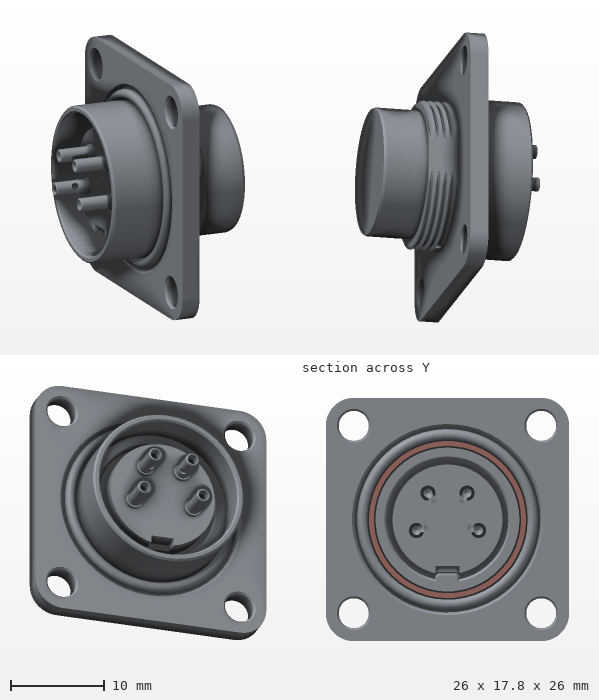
import cadquery as cq
import math


flange_width = 26.0
flange_thickness = 2.0
flange_corner_radius = 3.0
mount_hole_diameter = 3.2
mount_hole_chamfer = 0.2
mount_hole_offset = flange_width / 2 - flange_corner_radius

shroud_diameter = 17.0
shroud_bore = 15.5
shroud_length = 6.0
rim_outer_chamfer = 0.2
rim_inner_chamfer = 0.18

groove_diameter = 20.4
groove_chamfer = 0.29
seal_section_diameter = 1.2
seal_projection = 0.5
seal_squeeze = 0.03
seal_center_radius = (shroud_diameter + seal_section_diameter) / 2 - seal_squeeze
seal_center_y = seal_section_diameter / 2 - seal_projection
groove_depth = seal_section_diameter - seal_projection - seal_squeeze

barrel_diameter = 13.8
barrel_end_y = 10.0
barrel_end_chamfer_length = 0.29
barrel_end_chamfer_width = 0.1
thread_end_y = 5.2
thread_diameter = 16.0
thread_flat_width = 14.77
thread_pitch = 0.75
thread_start_y = 2.42
thread_overrun = 0.52
thread_crest_clearance = 0.03
thread_depth = 0.42
thread_flank_angle = 30.0

shoulder_y = -2.0
recess_floor_y = -1.2
recess_diameter = 13.0
recess_chamfer = 0.23
key_width = 2.15
key_top_z = -5.95
key_corner = 0.3

insert_diameter = 11.75
insert_face_y = -3.95
notch_width = 2.52
notch_top_z = -4.95
notch_step_z = -5.62

pin_diameter = 1.48
pin_tip_y = -7.8
pin_tip_chamfer = 0.1
pin_circle_radius = 3.5
pin_angles = (199.5, 126.5, 53.5, -19.5)
pin_bore_diameter = 1.1
pin_bore_depth = 2.6
pin_bore_cone_angle = 118.0
pin_vent_diameter = 0.8
pin_vent_from_tip = 2.15
collar_diameter = 1.82
collar_height = 0.42


def turned(start_y, end_y, start_diameter, end_diameter=None):
    """Cylinder, or cone frustum when the end diameters differ, on the Y axis."""
    if end_diameter is None:
        end_diameter = start_diameter
    outline = [(0, start_y), (start_diameter / 2, start_y), (end_diameter / 2, end_y), (0, end_y)]
    if end_diameter == 0:
        outline.pop()
    return cq.Workplane("XY").polyline(outline).close().revolve(360, (0, 0, 0), (0, 1, 0))


def block(width, start_y, end_y, bottom_z, top_z):
    """Box centred on x = 0 between the given Y and Z positions."""
    corner = (-width / 2, start_y, bottom_z)
    return cq.Workplane("XY").box(
        width, end_y - start_y, top_z - bottom_z, centered=False
    ).translate(corner)


def make_flange():
    plate = block(flange_width, 0, flange_thickness, -flange_width / 2, flange_width / 2)
    plate = plate.edges("|Y").fillet(flange_corner_radius)
    hole = turned(0, flange_thickness, mount_hole_diameter).union(
        turned(0, mount_hole_chamfer, mount_hole_diameter + 2 * mount_hole_chamfer, mount_hole_diameter)
    )
    for x in (-mount_hole_offset, mount_hole_offset):
        for z in (-mount_hole_offset, mount_hole_offset):
            plate = plate.cut(hole.translate((x, 0, z)))
    groove_wall_diameter = groove_diameter - 2 * groove_chamfer
    plate = plate.cut(turned(0, groove_depth, groove_wall_diameter))
    return plate.cut(turned(0, groove_chamfer, groove_diameter, groove_wall_diameter))


def make_seal():
    """Ring of round section whose seam line is on its inner side, against the shroud."""
    section = (
        cq.Workplane("XY")
        .transformed(offset=(seal_center_radius, seal_center_y, 0), rotate=(0, 0, 180))
        .circle(seal_section_diameter / 2)
    )
    return section.revolve(360, (seal_center_radius, 0, 0), (seal_center_radius, 1, 0))


def make_thread():
    """Threaded sleeve with two flats facing -X and +X."""
    sleeve = turned(flange_thickness, thread_end_y + 2 * thread_pitch, thread_diameter)
    crest_radius = thread_diameter / 2
    root_radius = crest_radius - thread_depth
    root_half = thread_pitch / 8
    flank_slope = math.tan(math.radians(thread_flank_angle))
    outer_radius = crest_radius + thread_crest_clearance
    outer_half = root_half + (outer_radius - root_radius) * flank_slope
    helix = cq.Wire.makeHelix(
        thread_pitch, thread_end_y - thread_start_y + thread_overrun, root_radius
    )
    groove = (
        cq.Workplane("XZ")
        .polyline(
            [
                (root_radius, -root_half),
                (outer_radius, -outer_half),
                (outer_radius, outer_half),
                (root_radius, root_half),
            ]
        )
        .close()
        .sweep(cq.Workplane("XY").add(helix), isFrenet=True)
    )
    groove = groove.rotate((0, 0, 0), (0, 0, 1), 90).rotate((0, 0, 0), (1, 0, 0), -90)
    sleeve = sleeve.cut(groove.translate((0, thread_start_y, 0)))
    trimmed_shape = block(thread_flat_width, flange_thickness, thread_end_y, -crest_radius, crest_radius)
    return sleeve.intersect(trimmed_shape)


def make_shell_core():
    """Shroud and rear barrel, hollowed from the front, with the locating key left standing."""
    front_y = -shroud_length
    shoulder_edge_diameter = recess_diameter + 2 * recess_chamfer
    barrel_chamfer_y = barrel_end_y - barrel_end_chamfer_length
    core = (
        turned(front_y + rim_outer_chamfer, groove_depth, shroud_diameter)
        .union(
            turned(front_y, front_y + rim_outer_chamfer,
                   shroud_diameter - 2 * rim_outer_chamfer, shroud_diameter)
        )
        .union(turned(recess_floor_y, barrel_chamfer_y, barrel_diameter))
        .union(
            turned(barrel_chamfer_y, barrel_end_y,
                   barrel_diameter, barrel_diameter - 2 * barrel_end_chamfer_width)
        )
    )
    core = core.cut(turned(front_y, shoulder_y, shroud_bore))
    core = core.cut(
        turned(front_y, front_y + rim_inner_chamfer, shroud_bore + 2 * rim_inner_chamfer, shroud_bore)
    )
    recess = turned(shoulder_y, recess_floor_y, recess_diameter)
    shoulder_chamfer = turned(
        shoulder_y, shoulder_y + recess_chamfer, shoulder_edge_diameter, recess_diameter
    )
    return core.cut(recess).cut(shoulder_chamfer).union(make_key())


def make_key():
    """Key rising from the bottom of the recess, bevelled like the shoulder around it."""
    base_z = -(recess_diameter + shroud_bore) / 4
    full_width = key_width + 2 * recess_chamfer
    key = block(full_width, shoulder_y, recess_floor_y, base_z, key_top_z + recess_chamfer)
    key = key.edges("|Y and >Z").chamfer(key_corner)
    bevelled_edges = key.faces("<Y").edges("not <Z")
    return bevelled_edges.chamfer(recess_chamfer)


def make_insert():
    """Round contact carrier with a stepped notch over the key."""
    insert = turned(insert_face_y, recess_floor_y, insert_diameter)
    bottom_z = -insert_diameter / 2
    insert = insert.cut(block(notch_width, insert_face_y, shoulder_y, bottom_z, notch_top_z))
    return insert.cut(block(notch_width, insert_face_y, recess_floor_y, bottom_z, notch_step_z))


def make_pin():
    """Solder-cup pin on the Y axis; its vent hole opens toward +X."""
    tip_edge_y = pin_tip_y + pin_tip_chamfer
    bore_end_y = pin_tip_y + pin_bore_depth
    cone_height = pin_bore_diameter / 2 / math.tan(math.radians(pin_bore_cone_angle / 2))
    pin = (
        turned(tip_edge_y, insert_face_y, pin_diameter)
        .union(turned(pin_tip_y, tip_edge_y, pin_diameter - 2 * pin_tip_chamfer, pin_diameter))
        .union(turned(insert_face_y - collar_height, insert_face_y, collar_diameter))
    )
    pin = pin.cut(turned(pin_tip_y, bore_end_y, pin_bore_diameter))
    pin = pin.cut(turned(bore_end_y, bore_end_y + cone_height, pin_bore_diameter, 0))
    vent = cq.Workplane("YZ").center(pin_tip_y + pin_vent_from_tip, 0)
    return pin.cut(vent.circle(pin_vent_diameter / 2).extrude(pin_diameter))


result = make_flange().union(make_shell_core()).union(make_seal()).union(make_thread())
result = result.union(make_insert())
for angle in pin_angles:
    placed_pin = make_pin().rotate((0, 0, 0), (0, 1, 0), 180).translate((pin_circle_radius, 0, 0))
    result = result.union(placed_pin.rotate((0, 0, 0), (0, 1, 0), -angle))